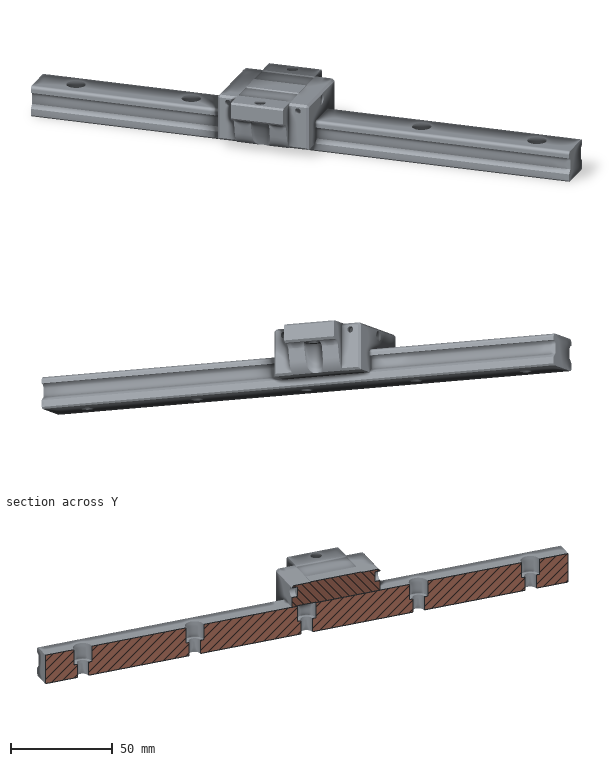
import cadquery as cq
import math

RAIL_LENGTH = 280.0
RAIL_WIDTH = 20.0
RAIL_HEIGHT = 16.0
HEAD_RADIUS = 1.7
HEAD_UNDERSIDE_Z = 12.5
TRACK_RADIUS = 2.0
FOOT_TOP_Z = 4.2
FOOT_CHAMFER = 0.8

RAIL_HOLE_COUNT = 5
RAIL_HOLE_PITCH = 60.0
RAIL_HOLE_DIA = 6.0
RAIL_COUNTERBORE_DIA = 9.5
RAIL_COUNTERBORE_DEPTH = 8.5

CARRIAGE_X = -15.7
CARRIAGE_TOP_Z = 28.0
CARRIAGE_BOTTOM_Z = FOOT_TOP_Z
CARRIAGE_LENGTH = 47.3
BLOCK_LENGTH = 27.2
FLANGE_WIDTH = 59.0
FLANGE_BOTTOM_Z = 18.8
FLANGE_TOP_CHAMFER = 0.8
FLANGE_BOTTOM_CHAMFER = 1.0

FLANGE_ROOT_HALF_WIDTH = 27.2
SIDE_UPPER_HALF_WIDTH = 25.0
SIDE_UPPER_Z = 16.5
SIDE_LOWER_HALF_WIDTH = 23.5
SIDE_LOWER_Z = 10.0
BASE_HALF_WIDTH = 20.2
ROOT_BULGE = 0.35
SKIRT_BULGE = 0.5

CHANNEL_INNER_Y = 5.5
CHANNEL_OUTER_Y = 18.5
CHANNEL_DEPTH = 0.5

FLANGE_HOLE_SPACING = 49.0
FLANGE_HOLE_DIA = 5.5
FLANGE_CLEARANCE_DIA = 9.5

CAP_WIDTH = 41.2
CAP_TOP_DROP = 0.3
CAP_CHAMFER = 1.0
CAP_LENGTH = (CARRIAGE_LENGTH - BLOCK_LENGTH) / 2
END_PORT_Z = 23.8
END_PORT_DIA = 5.0
SIDE_PORT_Z = 24.5
SIDE_PORT_DIA = 3.0
PORT_DEPTH = 2.8
SIDE_PORT_X = 18.2


def extrude_along_x(profile, length, centre_x):
    """Extrude a YZ profile symmetrically about centre_x."""
    return profile.extrude(length / 2, both=True).translate((centre_x, 0, 0))


def arc_middle(start, end, bulge):
    """Point at the middle of an arc, offset by bulge to the left of start-to-end."""
    run = end[0] - start[0]
    rise = end[1] - start[1]
    chord = math.hypot(run, rise)
    middle_y = (start[0] + end[0]) / 2 - bulge * rise / chord
    middle_z = (start[1] + end[1]) / 2 + bulge * run / chord
    return middle_y, middle_z


def rail_bar(length, centre_x):
    """Rail section without holes; it also serves as the cutter for the carriage."""
    half = RAIL_WIDTH / 2
    neck = half - TRACK_RADIUS
    diagonal = math.sqrt(0.5)
    head_arc_middle = (
        half - HEAD_RADIUS * (1 - diagonal),
        RAIL_HEIGHT - HEAD_RADIUS * (1 - diagonal),
    )
    track_arc_middle = (
        half - TRACK_RADIUS * diagonal,
        HEAD_UNDERSIDE_Z - TRACK_RADIUS * (1 - diagonal),
    )
    profile = (
        cq.Workplane("YZ")
        .moveTo(0, 0)
        .lineTo(half - FOOT_CHAMFER, 0)
        .lineTo(half, FOOT_CHAMFER)
        .lineTo(half, FOOT_TOP_Z)
        .lineTo(neck, FOOT_TOP_Z + TRACK_RADIUS)
        .lineTo(neck, HEAD_UNDERSIDE_Z - TRACK_RADIUS)
        .threePointArc(track_arc_middle, (half, HEAD_UNDERSIDE_Z))
        .lineTo(half, RAIL_HEIGHT - HEAD_RADIUS)
        .threePointArc(head_arc_middle, (half - HEAD_RADIUS, RAIL_HEIGHT))
        .lineTo(0, RAIL_HEIGHT)
        .mirrorY()
    )
    return extrude_along_x(profile, length, centre_x)


def make_rail():
    return (
        rail_bar(RAIL_LENGTH, 0)
        .faces(">Z")
        .workplane(origin=(0, 0, RAIL_HEIGHT))
        .rarray(RAIL_HOLE_PITCH, 2.8, RAIL_HOLE_COUNT, 1)
        .cboreHole(RAIL_HOLE_DIA, RAIL_COUNTERBORE_DIA, RAIL_COUNTERBORE_DEPTH)
    )


def flanged_block():
    """Steel block with a flange on each side and tapering sides below it."""
    half = FLANGE_WIDTH / 2
    base = (BASE_HALF_WIDTH, CARRIAGE_BOTTOM_Z)
    side_lower = (SIDE_LOWER_HALF_WIDTH, SIDE_LOWER_Z)
    side_upper = (SIDE_UPPER_HALF_WIDTH, SIDE_UPPER_Z)
    flange_root = (FLANGE_ROOT_HALF_WIDTH, FLANGE_BOTTOM_Z)
    profile = (
        cq.Workplane("YZ")
        .moveTo(0, CARRIAGE_BOTTOM_Z)
        .lineTo(*base)
        .threePointArc(arc_middle(base, side_lower, -SKIRT_BULGE), side_lower)
        .lineTo(*side_upper)
        .threePointArc(arc_middle(side_upper, flange_root, ROOT_BULGE), flange_root)
        .lineTo(half - FLANGE_BOTTOM_CHAMFER, FLANGE_BOTTOM_Z)
        .lineTo(half, FLANGE_BOTTOM_Z + FLANGE_BOTTOM_CHAMFER)
        .lineTo(half, CARRIAGE_TOP_Z - FLANGE_TOP_CHAMFER)
        .lineTo(half - FLANGE_TOP_CHAMFER, CARRIAGE_TOP_Z)
        .lineTo(0, CARRIAGE_TOP_Z)
        .mirrorY()
    )
    return extrude_along_x(profile, BLOCK_LENGTH, CARRIAGE_X)


def top_channel(side):
    """Cutter for the channel on one side of the block top (side is -1 or 1)."""
    floor_z = CARRIAGE_TOP_Z - CHANNEL_DEPTH
    profile = (
        cq.Workplane("YZ")
        .moveTo(side * CHANNEL_INNER_Y, CARRIAGE_TOP_Z)
        .lineTo(side * (CHANNEL_INNER_Y + CHANNEL_DEPTH), floor_z)
        .lineTo(side * (CHANNEL_OUTER_Y - CHANNEL_DEPTH), floor_z)
        .lineTo(side * CHANNEL_OUTER_Y, CARRIAGE_TOP_Z)
        .close()
    )
    return extrude_along_x(profile, BLOCK_LENGTH, CARRIAGE_X)


def flange_bolt_hole(side):
    """Cutter for a through hole with a clearance bore below the flange."""
    centre = (CARRIAGE_X, side * FLANGE_HOLE_SPACING / 2)
    hole = (
        cq.Workplane("XY")
        .center(*centre)
        .circle(FLANGE_HOLE_DIA / 2)
        .extrude(CARRIAGE_TOP_Z)
    )
    clearance = (
        cq.Workplane("XY")
        .center(*centre)
        .circle(FLANGE_CLEARANCE_DIA / 2)
        .extrude(FLANGE_BOTTOM_Z)
    )
    return hole.union(clearance)


def end_cap(end):
    """Cap at one end of the block (end is -1 or 1), chamfered on its outer edges."""
    height = CARRIAGE_TOP_Z - CAP_TOP_DROP - CARRIAGE_BOTTOM_Z
    centre_x = CARRIAGE_X + end * (BLOCK_LENGTH + CAP_LENGTH) / 2
    outer_side = ">X" if end > 0 else "<X"
    return (
        cq.Workplane("XY")
        .box(CAP_LENGTH, CAP_WIDTH, height, centered=(True, True, False))
        .edges(f"|X or (|Z and {outer_side}) or (|Y and >Z and {outer_side})")
        .chamfer(CAP_CHAMFER)
        .translate((centre_x, 0, CARRIAGE_BOTTOM_Z))
    )


def end_port(end):
    """Cutter for the lubrication port in the outer face of one cap."""
    face_x = CARRIAGE_X + end * CARRIAGE_LENGTH / 2
    return (
        cq.Workplane("YZ", origin=(face_x, 0, END_PORT_Z))
        .circle(END_PORT_DIA / 2)
        .extrude(-end * PORT_DEPTH)
    )


def side_port(end, side):
    """Cutter for the small port in one side face of one cap."""
    centre = (CARRIAGE_X + end * SIDE_PORT_X, side * CAP_WIDTH / 2, SIDE_PORT_Z)
    return (
        cq.Workplane("XZ", origin=centre)
        .circle(SIDE_PORT_DIA / 2)
        .extrude(side * PORT_DEPTH)
    )


def make_carriage():
    carriage = flanged_block()
    for side in (-1, 1):
        carriage = carriage.cut(top_channel(side))
        carriage = carriage.cut(flange_bolt_hole(side))
    for end in (-1, 1):
        carriage = carriage.union(end_cap(end))
        carriage = carriage.cut(end_port(end))
        for side in (-1, 1):
            carriage = carriage.cut(side_port(end, side))
    return carriage.cut(rail_bar(RAIL_LENGTH, 0))


rail = make_rail()
carriage = make_carriage()

result = cq.Compound.makeCompound([rail.val(), *carriage.vals()])